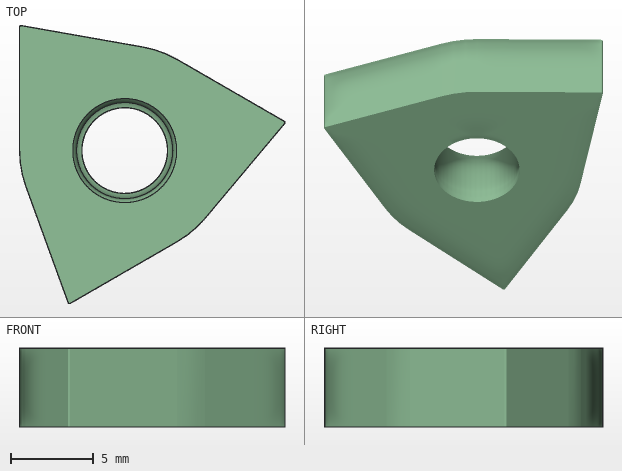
import cadquery as cq
import math

inscribed_diameter = 12.7
thickness = 4.76
corner_angle = 80.0
corner_radius = 0.1
first_corner_direction = 10.0
corner_count = 3

bore_diameter = 5.16
recess_top_diameter = 6.28
recess_floor_diameter = 5.8
recess_depth = 0.6

inscribed_radius = inscribed_diameter / 2
corner_pitch = 360.0 / corner_count
touch_angle = 90.0 - corner_angle / 2
nose_center_distance = (inscribed_radius - corner_radius) / math.sin(math.radians(corner_angle / 2))


def polar(radius, angle):
    """Point at a radius and an angle in degrees about the part axis."""
    return (radius * math.cos(math.radians(angle)), radius * math.sin(math.radians(angle)))


def nose_point(direction, normal_angle):
    """Point on a corner's nose arc where the outward normal has the given angle."""
    center_x, center_y = polar(nose_center_distance, direction)
    offset_x, offset_y = polar(corner_radius, normal_angle)
    return (center_x + offset_x, center_y + offset_y)


def insert_body():
    """Trigon prism: nose arcs joined by tangent edges and arcs of the inscribed circle."""
    first_touch = first_corner_direction - touch_angle
    outline = cq.Workplane("XY").moveTo(*polar(inscribed_radius, first_touch))
    for index in range(corner_count):
        direction = first_corner_direction + index * corner_pitch
        side_middle = direction + corner_pitch / 2
        next_touch = direction + corner_pitch - touch_angle
        outline = (
            outline.lineTo(*nose_point(direction, direction - touch_angle))
            .threePointArc(
                nose_point(direction, direction),
                nose_point(direction, direction + touch_angle),
            )
            .lineTo(*polar(inscribed_radius, direction + touch_angle))
            .threePointArc(
                polar(inscribed_radius, side_middle),
                polar(inscribed_radius, next_touch),
            )
        )
    return outline.close().extrude(thickness)


def bore_cutter():
    """Through bore with a tapered, flat-floored recess at the top face."""
    bore_radius = bore_diameter / 2
    recess_floor = thickness - recess_depth
    return (
        cq.Workplane("XZ")
        .lineTo(bore_radius, 0)
        .lineTo(bore_radius, recess_floor)
        .lineTo(recess_floor_diameter / 2, recess_floor)
        .lineTo(recess_top_diameter / 2, thickness)
        .lineTo(0, thickness)
        .close()
        .revolve(360, (0, 0, 0), (0, 1, 0))
    )


result = insert_body().cut(bore_cutter())